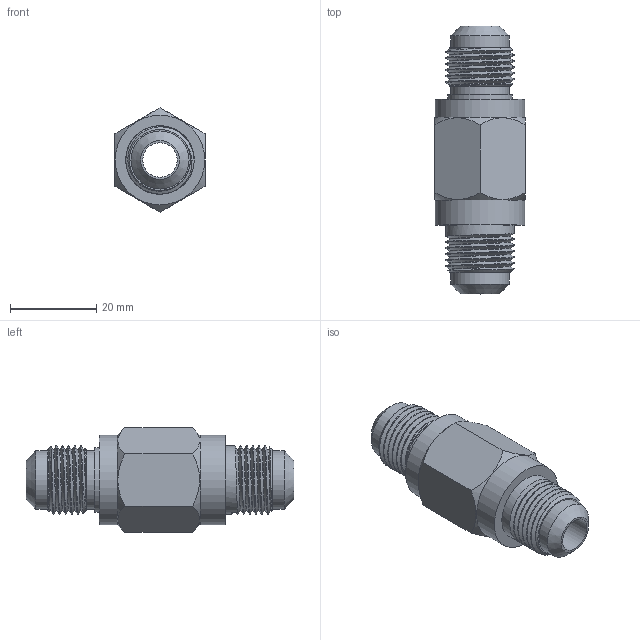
import cadquery as cq
import math


overall_length = 62.2
flare_length = 2.25
front_thread_start = 5.0
front_thread_end = 13.9
body_start = 16.0
hex_start = 21.8
hex_end = 41.0
body_end = 45.15
ring_end = 46.25
back_thread_start = 48.25
back_thread_end = 57.2

bore_diameter = 8.0
collar_diameter = 13.5
ring_diameter = 15.0
body_diameter = 20.8

hex_across_flats = 21.0
hex_across_corners = hex_across_flats / math.cos(math.pi / 6)

thread_diameter = 15.88
thread_root_diameter = 14.1
inch = 25.4
threads_per_inch = 18
thread_pitch = inch / threads_per_inch
crest_width = thread_pitch / 8
flank_slope = math.tan(math.radians(30))
thread_chamfer = 0.85
back_thread_turn = -50


def cylinder(diameter, start, end):
    """Cylinder about Z from start to end."""
    return cq.Workplane("XY").workplane(offset=start).circle(diameter / 2).extrude(end - start)


def bevelled_cylinder(diameter, start, end, start_bevel, end_bevel):
    """Cylinder about Z with 45 degree bevels of the given sizes; a bevel of zero leaves a square end."""
    shape = cylinder(diameter, start, end)
    if start_bevel:
        shape = shape.faces("<Z").chamfer(start_bevel)
    if end_bevel:
        shape = shape.faces(">Z").chamfer(end_bevel)
    return shape


def thread_groove(start, end):
    """Right-hand helical groove about Z, cut slightly past the crest diameter."""
    root_radius = thread_root_diameter / 2
    overcut = 0.1
    crest_radius = thread_diameter / 2
    outer_radius = crest_radius + overcut
    crest_half_gap = (thread_pitch - crest_width) / 2
    outer_half_gap = crest_half_gap + overcut * flank_slope
    root_half_gap = crest_half_gap - (crest_radius - root_radius) * flank_slope
    helix = cq.Wire.makeHelix(thread_pitch, end - start, root_radius)
    section = (
        cq.Workplane("XZ")
        .moveTo(root_radius, -root_half_gap)
        .lineTo(outer_radius, -outer_half_gap)
        .lineTo(outer_radius, outer_half_gap)
        .lineTo(root_radius, root_half_gap)
        .close()
    )
    groove = section.sweep(cq.Workplane(helix), isFrenet=True)
    return groove.translate((0, 0, start))


def hex_body():
    """Hexagon with flats facing X and its corners bevelled down to the round body."""
    prism = (
        cq.Workplane("XY")
        .workplane(offset=hex_start)
        .polygon(6, hex_across_corners)
        .extrude(hex_end - hex_start)
        .rotate((0, 0, 0), (0, 0, 1), 30)
    )
    corner_bevel = (hex_across_corners - body_diameter) / 2
    envelope = bevelled_cylinder(hex_across_corners, hex_start, hex_end, corner_bevel, corner_bevel)
    return prism.intersect(envelope).union(cylinder(body_diameter, body_start, body_end))


def front_end():
    """Flare, collar and thread, with a plain shoulder where the thread runs out."""
    flare = bevelled_cylinder(collar_diameter, 0, front_thread_start, flare_length, 0)
    thread = bevelled_cylinder(thread_diameter, front_thread_start, body_start, thread_chamfer, 0)
    groove_start = front_thread_start - thread_pitch
    groove = thread_groove(groove_start, front_thread_end)
    return thread.cut(groove).union(flare)


def back_end():
    """Ring, relief neck, thread bevelled at both ends, collar and flare."""
    ring = cylinder(ring_diameter, body_end, ring_end)
    core = bevelled_cylinder(collar_diameter, body_end, overall_length, 0, flare_length)
    thread = bevelled_cylinder(
        thread_diameter, back_thread_start, back_thread_end, thread_chamfer, thread_chamfer
    )
    groove = thread_groove(back_thread_start - thread_pitch / 2, back_thread_end + thread_pitch / 2)
    turned_thread = thread.cut(groove).rotate((0, 0, 0), (0, 0, 1), back_thread_turn)
    return turned_thread.union(core).union(ring)


fitting = hex_body().union(front_end()).union(back_end())
fitting = fitting.cut(cylinder(bore_diameter, 0, overall_length))

result = fitting.rotate((0, 0, 0), (1, 0, 0), -90).translate((0, -overall_length / 2, 0))